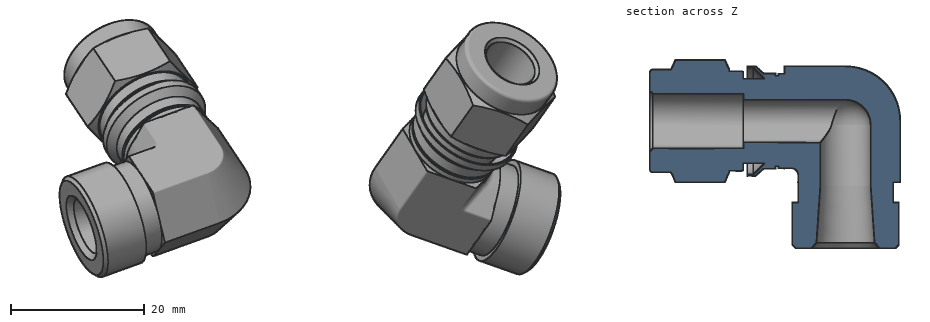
import cadquery as cq
import math


tolerance = 0.0005

tube_port_face = 29.35
threaded_port_face = 19.1

block_across_flats = 14.25
block_end = 9.17
block_half_height = block_across_flats / 2
block_corner = block_across_flats / math.sqrt(3)
block_edge_fillet = 0.38
inside_corner_fillet = 0.9

nut_across_flats = 15.9
nut_start = 3.2
nut_end = 11.95
nut_chamfer_angle = 25
nose_diameter = 15.5
nose_fillet = 0.5

collar_diameter = 15.0
collar_end = 14.05
collar_chamfer_length = 0.3
collar_chamfer_drop = 0.1
groove_diameter = 12.7
groove_end = 14.6
flange_diameter = 16.5
flange_end = 15.85
flange_cone_end = 17.05
flange_recess_diameter = 16.0
flange_recess_wall_end = 15.52
neck_diameter = 14.3
neck_end = 18.85
relief_diameter = 13.6
relief_end = 19.28
shoulder_diameter = 14.2

stub_end = 12.18
thread_diameter = 16.0
thread_chamfer = 0.53

tube_socket_diameter = 8.15
tube_socket_depth = 14.05
tube_socket_chamfer = 0.5
tube_bore_diameter = 6.35
branch_bore_diameter = 7.5
branch_mouth_diameter = 10.25
branch_seat_diameter = 8.68
branch_mouth_depth = 0.85
branch_seat_depth = 9.4


def hexagon_corners(across_flats):
    """Width of a regular hexagon across opposite corners."""
    return across_flats / math.cos(math.radians(30))


def cylinder_along_tube(start, end, diameter):
    """Cylinder on the tube axis between two stations from the tube port face."""
    return (
        cq.Workplane("YZ", origin=(start - tube_port_face, 0, 0))
        .circle(diameter / 2)
        .extrude(end - start)
    )


def cone_along_tube(start, end, start_diameter, end_diameter):
    """Truncated cone on the tube axis between two stations from the tube port face."""
    base = cq.Vector(start - tube_port_face, 0, 0)
    cone = cq.Solid.makeCone(start_diameter / 2, end_diameter / 2, end - start, base, cq.Vector(1, 0, 0))
    return cq.Workplane(cone)


def block_leg():
    """Leg along -X; outside edge towards +Y, rounded inside towards -Y."""
    round_start_y = -block_half_height * math.cos(math.radians(30))
    round_start_z = block_half_height * math.sin(math.radians(30))
    return (
        cq.Workplane("YZ", origin=(-block_end, 0, 0))
        .moveTo(block_corner, 0)
        .lineTo(block_corner / 2, block_half_height)
        .lineTo(-block_corner / 2, block_half_height)
        .lineTo(round_start_y, round_start_z)
        .threePointArc((-block_half_height, 0), (round_start_y, -round_start_z))
        .lineTo(-block_corner / 2, -block_half_height)
        .lineTo(block_corner / 2, -block_half_height)
        .close()
        .extrude(block_end)
    )


def block_bend():
    """Outer half of the hexagon swept a quarter turn about Z from +X to +Y."""
    return (
        cq.Workplane("XZ")
        .moveTo(0, -block_half_height)
        .lineTo(block_corner / 2, -block_half_height)
        .lineTo(block_corner, 0)
        .lineTo(block_corner / 2, block_half_height)
        .lineTo(0, block_half_height)
        .close()
        .revolve(90, (0, 0, 0), (0, 1, 0))
    )


def is_inside_mitre(edge):
    """Edges on the diagonal plane where the two legs meet at the inside corner."""
    ends = (edge.startPoint(), edge.endPoint())
    return all(abs(p.x - p.y) < tolerance and p.x < -tolerance for p in ends)


def is_face_outline(edge):
    """Edges around the two flat faces, leaving out those on the leg ends."""
    middle = edge.positionAt(0.5)
    points = (edge.startPoint(), middle, edge.endPoint())
    on_flat = all(abs(abs(p.z) - block_half_height) < tolerance for p in points)
    return on_flat and min(middle.x, middle.y) > tolerance - block_end


def elbow_block():
    leg = block_leg()
    other_leg = leg.rotate((0, 0, 0), (1, 1, 0), 180)
    block = leg.union(other_leg).union(block_bend()).clean()
    mitre = [edge for edge in block.edges().vals() if is_inside_mitre(edge)]
    block = block.newObject(mitre).fillet(inside_corner_fillet)
    outline = [edge for edge in block.edges().vals() if is_face_outline(edge)]
    return block.newObject(outline).fillet(block_edge_fillet)


def nut():
    """Hexagon with two edges in the XY plane, both ends turned down to a cone."""
    length = nut_end - nut_start
    corner_radius = hexagon_corners(nut_across_flats) / 2
    face_radius = nose_diameter / 2
    chamfer_length = (corner_radius - face_radius) * math.tan(math.radians(nut_chamfer_angle))
    blank = (
        cq.Workplane("YZ", origin=(nut_start - tube_port_face, 0, 0))
        .polygon(6, 2 * corner_radius)
        .extrude(length)
    )
    turned = cylinder_along_tube(nut_start, nut_end, 2 * corner_radius).edges().chamfer(
        chamfer_length, corner_radius - face_radius
    )
    return blank.intersect(turned)


def flange_recess():
    """Ring-shaped hollow in the nut side of the flange, with a 45 degree floor rising from the groove."""
    groove_radius = groove_diameter / 2
    wall_radius = flange_recess_diameter / 2
    floor_depth = wall_radius - groove_radius
    face_x = groove_end - tube_port_face
    wall_end_x = flange_recess_wall_end - tube_port_face
    return (
        cq.Workplane("XY")
        .moveTo(face_x, groove_radius)
        .lineTo(face_x, wall_radius)
        .lineTo(wall_end_x, wall_radius)
        .lineTo(wall_end_x + floor_depth, groove_radius)
        .close()
        .revolve(360, (0, 0, 0), (1, 0, 0))
    )


def tube_port():
    nose = cylinder_along_tube(0, nut_end, nose_diameter).faces("<X").edges().fillet(nose_fillet)
    collar_cone_start = collar_end - collar_chamfer_length
    collar = cylinder_along_tube(nut_start, collar_cone_start, collar_diameter)
    collar_cone = cone_along_tube(
        collar_cone_start, collar_end, collar_diameter, collar_diameter - 2 * collar_chamfer_drop
    )
    flange_cone = cone_along_tube(flange_end, flange_cone_end, flange_diameter, neck_diameter)
    port = nose.union(nut()).union(collar).union(collar_cone).union(flange_cone)
    steps = [
        (collar_end, groove_end, groove_diameter),
        (groove_end, flange_end, flange_diameter),
        (flange_cone_end, neck_end, neck_diameter),
        (neck_end, relief_end, relief_diameter),
        (relief_end, tube_port_face - block_end, shoulder_diameter),
    ]
    for start, end, diameter in steps:
        port = port.union(cylinder_along_tube(start, end, diameter))
    return port.cut(flange_recess())


def cylinder_along_branch(start, end, diameter):
    """Cylinder on the threaded port axis between two distances from the origin."""
    return cq.Workplane("XZ", origin=(0, -start, 0)).circle(diameter / 2).extrude(end - start)


def threaded_port():
    stub = cylinder_along_branch(block_end, stub_end, neck_diameter)
    thread = cylinder_along_branch(stub_end, threaded_port_face, thread_diameter)
    return stub.union(thread.faces("<Y").edges().chamfer(thread_chamfer))


def tube_bore():
    bore = cylinder_along_tube(0, tube_port_face, tube_bore_diameter)
    socket = cylinder_along_tube(0, tube_socket_depth, tube_socket_diameter)
    mouth_diameter = tube_socket_diameter + 2 * tube_socket_chamfer
    mouth = cone_along_tube(0, tube_socket_chamfer, mouth_diameter, tube_socket_diameter)
    return bore.union(socket).union(mouth)


def branch_bore():
    """Half section turned about the Y axis, ending in a hemisphere tangent to the tube bore."""
    bore_radius = branch_bore_diameter / 2
    seat_radius = branch_seat_diameter / 2
    dome_centre = tube_bore_diameter / 2 - bore_radius
    seat_start = branch_mouth_depth - threaded_port_face
    seat_end = branch_seat_depth - threaded_port_face
    dome_offset = bore_radius * math.sqrt(0.5)
    return (
        cq.Workplane("XY")
        .moveTo(0, -threaded_port_face)
        .lineTo(branch_mouth_diameter / 2, -threaded_port_face)
        .lineTo(seat_radius, seat_start)
        .lineTo(bore_radius, seat_end)
        .lineTo(bore_radius, dome_centre)
        .threePointArc((dome_offset, dome_centre + dome_offset), (0, dome_centre + bore_radius))
        .close()
        .revolve(360, (0, 0, 0), (0, 1, 0))
    )


body = elbow_block().union(tube_port()).union(threaded_port())
result = body.cut(tube_bore()).cut(branch_bore())